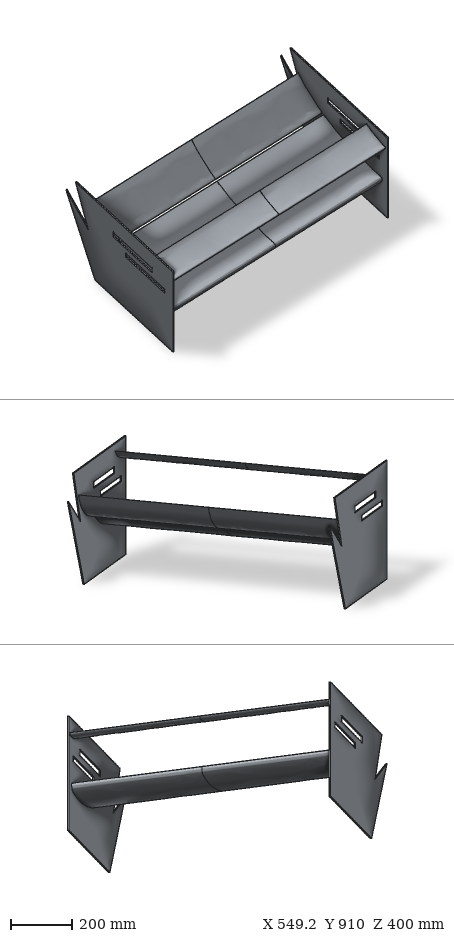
import cadquery as cq


half_span = 450
plate_thickness = 5

plate_height = 400
plate_top_length = 500
plate_bottom_length = 400
tail_tip = (-549.2, 317)
tail_notch = (-435, 221)

slot_length = 200
upper_slot_front = -108
upper_slot_bottom = 301
upper_slot_height = 22
lower_slot_front = -43
lower_slot_bottom = 257
lower_slot_height = 19

trailing_edge = (0, 0)
nose = (1, 0)
upper_side = [(0.22, -0.036), (0.45, -0.030), (0.68, -0.003), (0.90, 0.021)]
lower_side = [(0.20, -0.093), (0.33, -0.132), (0.50, -0.148), (0.75, -0.130), (0.94, -0.072)]

main_edge = (-327, 224)
main_chord = 306
main_tilt = 11.3

flap_edge = (-457, 316)
flap_chord = 153
flap_tilt = 38.5

winglet_edge = (-107, 376)
winglet_chord = 104
winglet_tilt = 20


def slot_cutter(front, bottom, height):
    """Bar that cuts one slot through an endplate standing on Y = 0."""
    return cq.Workplane("XY").box(slot_length, 4 * plate_thickness, height).translate(
        (front - slot_length / 2, 0, bottom + height / 2)
    )


def endplate(y_start):
    """Notched side plate with two slots; it fills Y = y_start to y_start + plate_thickness."""
    outline = [
        (0, 0),
        (0, plate_height),
        (-plate_top_length, plate_height),
        tail_notch,
        tail_tip,
        (-plate_bottom_length, 0),
    ]
    plate = cq.Workplane("XZ").polyline(outline).close().extrude(-plate_thickness)
    plate = plate.cut(slot_cutter(upper_slot_front, upper_slot_bottom, upper_slot_height))
    plate = plate.cut(slot_cutter(lower_slot_front, lower_slot_bottom, lower_slot_height))
    return plate.translate((0, y_start, 0))


def side_curve(side, chord, nose_direction):
    """Smooth curve in the XZ plane along one side of an aerofoil, from trailing edge to nose.

    nose_direction is 1 for a curve that reaches the nose going down, -1 for one going up.
    """
    stations = [trailing_edge, *side, nose]
    points = [cq.Vector(along * chord, 0, height * chord) for along, height in stations]
    first_leg = points[1] - points[0]
    nose_tangent = cq.Vector(0, 0, -nose_direction)
    return cq.Edge.makeSpline(points, tangents=[first_leg, nose_tangent])


def wing_half(edge, chord, tilt, y_start):
    """Half of one wing; it spans Y = y_start to y_start + half_span."""
    upper = side_curve(upper_side, chord, 1)
    lower = side_curve(lower_side, chord, -1)
    section = cq.Wire.assembleEdges([upper, lower])
    half = cq.Workplane("XZ").add(section).toPending().extrude(-half_span)
    half = half.rotate((0, 0, 0), (0, 1, 0), tilt)
    edge_x, edge_z = edge
    return half.translate((edge_x, y_start, edge_z))


endplates = [endplate(y) for y in (-half_span - plate_thickness, half_span)]
half_starts = (-half_span, 0)
main_halves = [wing_half(main_edge, main_chord, main_tilt, y) for y in half_starts]
flap_halves = [wing_half(flap_edge, flap_chord, flap_tilt, y) for y in half_starts]
winglet_halves = [wing_half(winglet_edge, winglet_chord, winglet_tilt, y) for y in half_starts]

bodies = endplates + main_halves + flap_halves + winglet_halves
result = cq.Compound.makeCompound([body.val() for body in bodies])